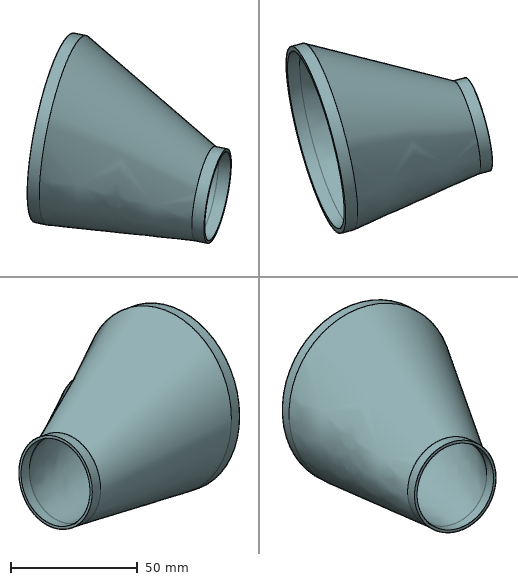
import cadquery as cq

total_length = 67.0
collar_length = 5.0
large_outer_dia = 76.3
large_inner_dia = 72.3
small_outer_dia = 38.1
small_inner_dia = 35.7

small_axis_z = -(large_outer_dia - small_outer_dia) / 2
taper_length = total_length - 2 * collar_length
small_collar_x = collar_length + taper_length


def collar(start_x, axis_z, diameter):
    """Straight cylinder along +X, one collar long."""
    return (
        cq.Workplane("YZ", origin=(start_x, 0, axis_z))
        .circle(diameter / 2)
        .extrude(collar_length)
    )


def oblique_cone(large_dia, small_dia):
    """Straight-sided taper between the two offset collars."""
    return (
        cq.Workplane("YZ", origin=(collar_length, 0, 0))
        .circle(large_dia / 2)
        .workplane(offset=taper_length)
        .center(0, small_axis_z)
        .circle(small_dia / 2)
        .loft(ruled=True)
    )


def reducer_body(large_dia, small_dia):
    """Solid reducer shape: large collar, oblique cone, small collar."""
    large_collar = collar(0, 0, large_dia)
    small_collar = collar(small_collar_x, small_axis_z, small_dia)
    return large_collar.union(oblique_cone(large_dia, small_dia)).union(small_collar)


outer_body = reducer_body(large_outer_dia, small_outer_dia)
bore = reducer_body(large_inner_dia, small_inner_dia)

result = outer_body.cut(bore)